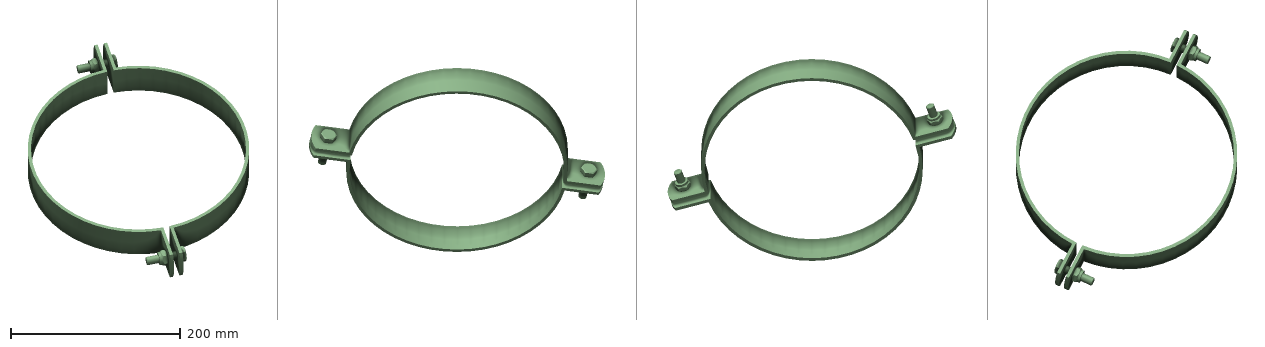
import cadquery as cq
import math

length = 353.0
outer_diameter = 262.0
thickness = 4.0
width = 40.0
half_gap = 4.0
ear_end_radius = 40.0

bolt_offset = 156.5
bolt_diameter = 10.0
bolt_hole_diameter = 10.5
tip_diameter = 8.5
tip_y = -32.5
hex_flats = 17.0
hex_chamfer_diameter = 15.5
head_chamfer_angle = 30.0
nut_chamfer_angle = 45.0
head_height = 7.0
nut_hex_height = 7.0
collar_height = 3.0
collar_diameter = 15.5

outer_radius = outer_diameter / 2
inner_radius = outer_radius - thickness
half_length = length / 2
ear_outer_y = half_gap + thickness
hex_corners = hex_flats / math.cos(math.pi / 6)


def y_cylinder(diameter, y_start, y_end):
    """Cylinder on the Y axis between two Y positions, y_start < y_end."""
    plane = cq.Workplane("XZ", origin=(0, y_end, 0))
    return plane.circle(diameter / 2).extrude(y_end - y_start)


def chamfer_cone(y_face, direction, depth, angle):
    """Cone that trims hexagon corners, narrowest at y_face and widening along direction."""
    face_radius = hex_chamfer_diameter / 2
    far_radius = face_radius + depth / math.tan(math.radians(angle))
    y_far = y_face + direction * depth
    profile = [(0, y_face), (face_radius, y_face), (far_radius, y_far), (0, y_far)]
    return cq.Workplane("XY").polyline(profile).close().revolve(360, (0, 0), (0, 1))


def y_hexagon(y_start, y_end):
    """Hexagonal prism on the Y axis with two corners pointing along X."""
    plane = cq.Workplane("XZ", origin=(0, y_end, 0))
    return plane.polygon(6, hex_corners).extrude(y_end - y_start)


def make_half_band():
    """Half ring on the +Y side with a rounded, drilled ear at each end."""
    inner_end_x = math.sqrt(inner_radius**2 - half_gap**2)
    outer_end_x = math.sqrt(outer_radius**2 - ear_outer_y**2)
    band = (
        cq.Workplane("XY", origin=(0, 0, -width / 2))
        .moveTo(-half_length, half_gap)
        .lineTo(-inner_end_x, half_gap)
        .threePointArc((0, inner_radius), (inner_end_x, half_gap))
        .lineTo(half_length, half_gap)
        .lineTo(half_length, ear_outer_y)
        .lineTo(outer_end_x, ear_outer_y)
        .threePointArc((0, outer_radius), (-outer_end_x, ear_outer_y))
        .lineTo(-half_length, ear_outer_y)
        .close()
        .extrude(width)
    )

    end_rise = ear_end_radius - math.sqrt(ear_end_radius**2 - (width / 2) ** 2)
    corner_x = half_length - end_rise
    end_outline = (
        cq.Workplane("XZ", origin=(0, outer_radius, 0))
        .moveTo(-corner_x, -width / 2)
        .lineTo(corner_x, -width / 2)
        .threePointArc((half_length, 0), (corner_x, width / 2))
        .lineTo(-corner_x, width / 2)
        .threePointArc((-half_length, 0), (-corner_x, -width / 2))
        .close()
        .extrude(outer_radius)
    )
    band = band.intersect(end_outline)

    for side in (-1, 1):
        hole = y_cylinder(bolt_hole_diameter, half_gap, ear_outer_y)
        band = band.cut(hole.translate((side * bolt_offset, 0, 0)))
    return band


def make_bolt():
    """Hexagon bolt with its head on the +Y ear and a chamfered tip."""
    head_top = ear_outer_y + head_height
    head = y_hexagon(ear_outer_y, head_top)
    head = head.intersect(chamfer_cone(head_top, -1, head_height, head_chamfer_angle))
    shank = y_cylinder(bolt_diameter, tip_y, ear_outer_y)
    shank = shank.faces("<Y").chamfer((bolt_diameter - tip_diameter) / 2)
    return head.union(shank)


def make_nut():
    """Locking nut on the -Y ear: hexagon chamfered at both ends, round collar outside."""
    seat_y = -ear_outer_y
    hex_end_y = seat_y - nut_hex_height
    nut = y_hexagon(hex_end_y, seat_y)
    nut = nut.intersect(chamfer_cone(seat_y, -1, nut_hex_height, nut_chamfer_angle))
    nut = nut.intersect(chamfer_cone(hex_end_y, 1, nut_hex_height, nut_chamfer_angle))
    collar_end_y = hex_end_y - collar_height
    nut = nut.union(y_cylinder(collar_diameter, collar_end_y, hex_end_y))
    return nut.cut(y_cylinder(bolt_diameter, collar_end_y, seat_y))


rear_band = make_half_band()
front_band = rear_band.mirror("XZ")

bolts = []
nuts = []
for side in (-1, 1):
    place = (side * bolt_offset, 0, 0)
    bolts.append(make_bolt().translate(place).val())
    nuts.append(make_nut().translate(place).val())

result = cq.Compound.makeCompound([rear_band.val(), front_band.val(), *bolts, *nuts])